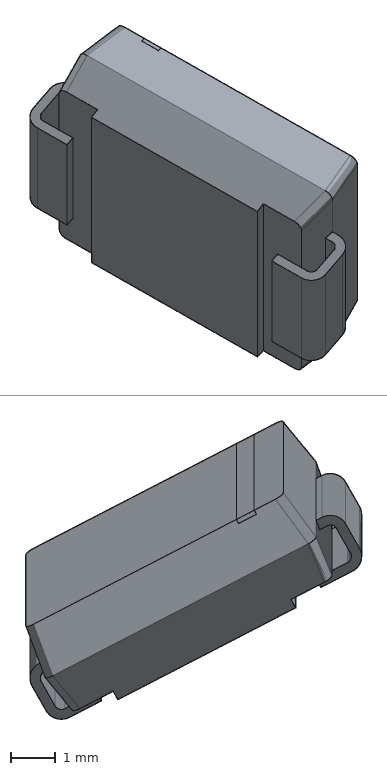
import cadquery as cq
import math

length = 7.95
height = 5.9
back_depth = 1.22
lead_depth = 1.43

housing_length = 6.87
shelf_depth = 1.0
pad_depth = 1.23
pad_length = 4.51
draft_angle = 8.0
corner_radius = 0.2

band_left = -2.53
band_width = 0.45
band_depth = 0.1

lead_width = 3.07
lead_thickness = 0.23
lead_bend_radius = 0.39
foot_length = 1.19

draft_slope = math.tan(math.radians(draft_angle))


def drafted_half(end_y):
    """Half of the moulded block, narrowing from the parting plane to end_y."""
    inset = abs(end_y) * draft_slope
    half = (
        cq.Workplane("XZ")
        .rect(housing_length, height)
        .workplane(offset=-end_y)
        .rect(housing_length - 2 * inset, height - 2 * inset)
        .loft(ruled=True)
    )
    corner_edges = half.edges("not(|X or |Z)")
    return corner_edges.fillet(corner_radius)


def make_block():
    """Whole housing block, with the raised pad left between two end shelves."""
    block = drafted_half(back_depth).union(drafted_half(-pad_depth))
    shelf_length = (housing_length - pad_length) / 2
    shelf_height = pad_depth - shelf_depth
    for side in (-1, 1):
        shelf_cut = cq.Workplane("XY").box(shelf_length, shelf_height, height).translate(
            (side * (pad_length + shelf_length) / 2, -(shelf_depth + pad_depth) / 2, 0)
        )
        block = block.cut(shelf_cut)
    return block


def make_band(block):
    """Polarity band running the full height, its ends flush with the drafted walls."""
    strip = cq.Workplane("XY").box(band_width, band_depth, height).translate(
        (band_left + band_width / 2, back_depth - band_depth / 2, 0)
    )
    return strip.intersect(block)


def make_lead(side):
    """C-shaped lead from the housing wall, bent round under the shelf."""
    outer_x = length / 2
    inner_x = outer_x - lead_thickness
    wall_x = housing_length / 2
    foot_x = outer_x - foot_length
    inner_radius = lead_bend_radius - lead_thickness
    lead = (
        cq.Workplane("XY")
        .moveTo(wall_x, 0)
        .lineTo(outer_x - lead_bend_radius, 0)
        .radiusArc((outer_x, -lead_bend_radius), lead_bend_radius)
        .lineTo(outer_x, lead_bend_radius - lead_depth)
        .radiusArc((outer_x - lead_bend_radius, -lead_depth), lead_bend_radius)
        .lineTo(foot_x, -lead_depth)
        .lineTo(foot_x, lead_thickness - lead_depth)
        .lineTo(inner_x - inner_radius, lead_thickness - lead_depth)
        .radiusArc((inner_x, lead_bend_radius - lead_depth), -inner_radius)
        .lineTo(inner_x, -lead_bend_radius)
        .radiusArc((inner_x - inner_radius, -lead_thickness), -inner_radius)
        .lineTo(wall_x - lead_thickness * draft_slope, -lead_thickness)
        .close()
        .extrude(lead_width / 2, both=True)
    )
    if side < 0:
        lead = lead.mirror("YZ")
    return lead


block = make_block()
band = make_band(block)
housing = block.cut(band)
leads = [make_lead(side) for side in (-1, 1)]

result = cq.Compound.makeCompound([housing.val(), band.val(), *[lead.val() for lead in leads]])